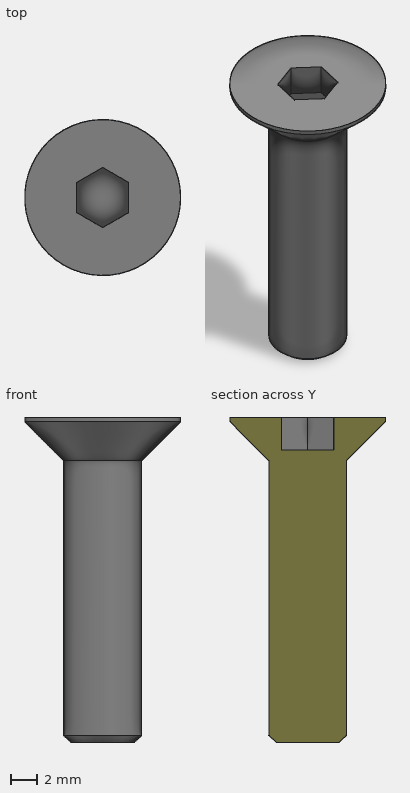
import cadquery as cq
import math

length = 25.0
shank_radius = 3.0
head_radius = 6.0
rim_height = 0.33
tip_chamfer_height = 0.55
tip_chamfer_width = 0.6
socket_across_flats = 4.0
socket_depth = 2.5
socket_sides = 6

cone_height = head_radius - shank_radius
head_height = rim_height + cone_height


def make_body():
    """Revolve the half profile of head, shank and chamfered tip about Z."""
    return (
        cq.Workplane("XZ")
        .moveTo(0, 0)
        .lineTo(head_radius, 0)
        .lineTo(head_radius, -rim_height)
        .lineTo(shank_radius, -head_height)
        .lineTo(shank_radius, -length + tip_chamfer_height)
        .lineTo(shank_radius - tip_chamfer_width, -length)
        .lineTo(0, -length)
        .close()
        .revolve(360, (0, 0, 0), (0, 1, 0))
    )


def make_socket():
    """Hexagonal prism with corners on the Y axis, sunk from the head face."""
    across_corners = socket_across_flats / math.cos(math.pi / socket_sides)
    corner_angle = 90
    return (
        cq.Workplane("XY")
        .polygon(socket_sides, across_corners)
        .extrude(-socket_depth)
        .rotate((0, 0, 0), (0, 0, 1), corner_angle)
    )


result = make_body().cut(make_socket())